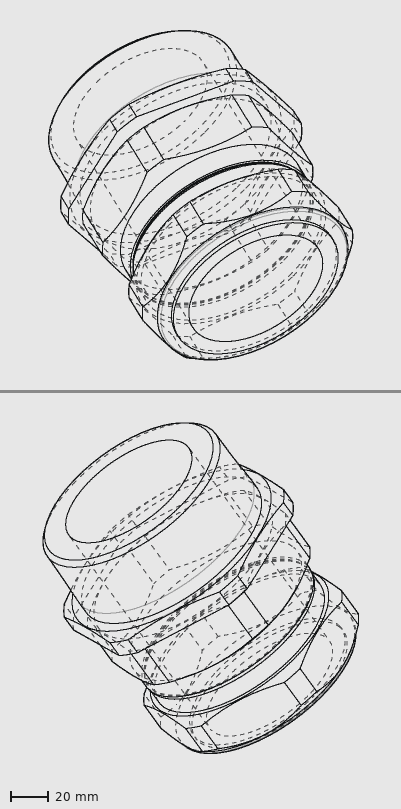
import cadquery as cq
import math

spigot_chamfer_length = 2.7
spigot_taper_length = 33.7
spigot_collar_length = 7.5
flange_length = 12.0
body_hex_length = 33.2
neck_length = 12.3
groove_length = 0.7
groove_chamfer_length = 1.5
sleeve_length = 10.0
nut_length = 26.5
lip_length = 2.2
end_ring_length = 2.3

taper_start = spigot_chamfer_length
taper_end = taper_start + spigot_taper_length
flange_start = taper_end + spigot_collar_length
body_hex_start = flange_start + flange_length
neck_start = body_hex_start + body_hex_length
groove_start = neck_start + neck_length
groove_end = groove_start + groove_length
sleeve_start = groove_end + groove_chamfer_length
nut_start = sleeve_start + sleeve_length
lip_start = nut_start + nut_length
end_ring_start = lip_start + lip_length
total_length = end_ring_start + end_ring_length

bore_radius = 40.0
spigot_tip_radius = 53.5
spigot_front_radius = 56.2
spigot_radius = 57.1
neck_radius = 54.5
groove_radius = 53.0
sleeve_radius = 53.9
lip_radius = 56.8
lip_edge_radius = 1.2
end_ring_radius = 49.3

flange_across_flats = 127.0
flange_corner_radius = 69.8
flange_face_radius = 63.1
flange_chamfer_length = 2.3

wrench_across_flats = 114.2
wrench_corner_radius = 62.9
wrench_face_radius = 56.6
wrench_chamfer_length = 3.5
body_hex_rear_chamfer_length = 4.8
nut_rear_chamfer_length = 5.8


def revolve_profile(points):
    """Turn (x, radius) points, closed along the X axis, into a solid of revolution."""
    first_x = points[0][0]
    last_x = points[-1][0]
    outline = [(first_x, 0), *points, (last_x, 0)]
    return cq.Workplane("XY").polyline(outline).close().revolve(360, (0, 0, 0), (1, 0, 0))


def hexagon(start, length, across_flats, turned_profile):
    """Hexagonal prism along X, with flats facing +Z and -Z, trimmed by a turned profile."""
    corner_diameter = across_flats / math.cos(math.pi / 6)
    prism = cq.Workplane("YZ", origin=(start, 0, 0)).polygon(6, corner_diameter).extrude(length)
    return prism.intersect(revolve_profile(turned_profile))


def make_round_core():
    """All turned sections from the tapered spigot to the end ring."""
    return revolve_profile([
        (0, spigot_tip_radius),
        (taper_start, spigot_front_radius),
        (taper_end, spigot_radius),
        (flange_start, spigot_radius),
        (flange_start, neck_radius),
        (groove_start, neck_radius),
        (groove_start, groove_radius),
        (groove_end, groove_radius),
        (sleeve_start, sleeve_radius),
        (end_ring_start, sleeve_radius),
        (end_ring_start, end_ring_radius),
        (total_length, end_ring_radius),
    ])


def make_lip():
    """Thin collar behind the nut with a rounded outer edge."""
    disc = cq.Workplane("YZ", origin=(lip_start, 0, 0)).circle(lip_radius).extrude(lip_length)
    return disc.faces(">X").edges().fillet(lip_edge_radius)


def make_flange():
    """Wide hexagon, chamfered on the spigot side only."""
    return hexagon(flange_start, flange_length, flange_across_flats, [
        (flange_start, flange_face_radius),
        (flange_start + flange_chamfer_length, flange_corner_radius),
        (body_hex_start, flange_corner_radius),
    ])


def make_wrench_hexagon(start, end, rear_chamfer_length, rear_radius):
    """Wrench hexagon chamfered at both ends down to the given rear radius."""
    return hexagon(start, end - start, wrench_across_flats, [
        (start, wrench_face_radius),
        (start + wrench_chamfer_length, wrench_corner_radius),
        (end - rear_chamfer_length, wrench_corner_radius),
        (end, rear_radius),
    ])


def make_bore():
    return cq.Workplane("YZ").circle(bore_radius).extrude(total_length)


body_hex = make_wrench_hexagon(body_hex_start, neck_start, body_hex_rear_chamfer_length, neck_radius)
nut = make_wrench_hexagon(nut_start, lip_start, nut_rear_chamfer_length, lip_radius)

result = (
    make_round_core()
    .union(make_flange())
    .union(body_hex)
    .union(nut)
    .union(make_lip())
    .cut(make_bore())
)